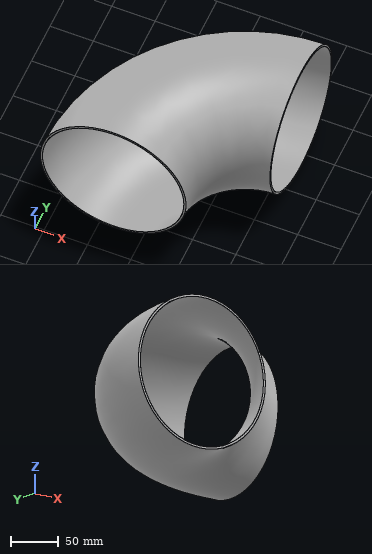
import cadquery as cq

OVERALL_LENGTH = 236.2
PIPE_DIAMETER = 168.4
WALL_THICKNESS = 2.5
BEND_ANGLE = 90.0

outer_radius = PIPE_DIAMETER / 2
inner_radius = outer_radius - WALL_THICKNESS
bend_radius = OVERALL_LENGTH - outer_radius


def pipe_elbow():
    """Ring section swept about the Z axis, from the end facing -Y to the end facing +X."""
    ring = (
        cq.Workplane("XZ")
        .center(-bend_radius, 0)
        .circle(outer_radius)
        .circle(inner_radius)
    )
    axis_start = (bend_radius, 0)
    axis_end = (bend_radius, -1)
    return ring.revolve(BEND_ANGLE, axis_start, axis_end)


result = pipe_elbow()